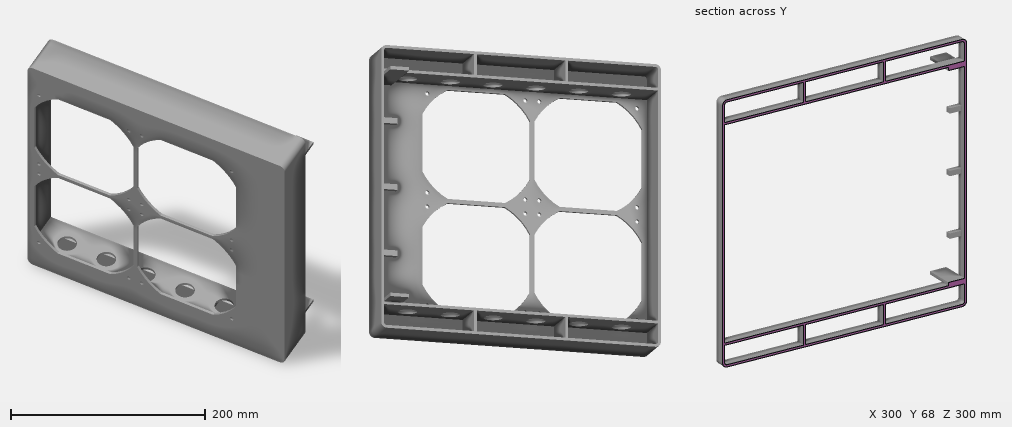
import cadquery as cq

side = 300.0
depth = 45.0
wall = 3.0
corner_radius = 6.0
overlap = wall / 2

fan_pitch = 120.0
fan_centre_x = -24.3
opening_width = 115.5
opening_diameter = 130.8
screw_spacing = 105.0
screw_diameter = 4.2

shelf_height = 28.0
shelf_hole_count = 6
shelf_hole_pitch = 46.0
shelf_hole_diameter = 20.0
shelf_hole_y = 20.0
rib_count = 2

tab_width = 20.0
tab_thickness = 3.5
tab_overhang = 23.0

block_pitch = 70.2
block_size = 6.0
block_reach = 14.5

half = side / 2
inner = side - 2 * wall
inner_half = inner / 2


def box_between(x_range, y_range, z_range):
    """Axis-aligned box given by its limits."""
    lengths = [high - low for low, high in (x_range, y_range, z_range)]
    corner = (x_range[0], y_range[0], z_range[0])
    return cq.Workplane("XY").box(*lengths, centered=False).translate(corner)


def rounded_box(width, radius, y_start, y_end):
    """Square block with rounded corners, running along Y."""
    return (
        cq.Workplane("XZ", origin=(0, y_start, 0))
        .rect(width, width)
        .extrude(y_start - y_end)
        .edges("|Y")
        .fillet(radius)
    )


def make_shell():
    """Front plate with four side walls, open at the back."""
    outer = rounded_box(side, corner_radius, 0, depth)
    cavity = rounded_box(inner, corner_radius - wall, wall, depth)
    return outer.cut(cavity)


def make_lower_shelf():
    """Shelf with a row of holes, the ribs that carry it and the tab lying on it."""
    top = shelf_height - half
    underside = top - wall
    y_range = (wall - overlap, depth)

    shelf_end = inner_half + overlap
    shelf = box_between((-shelf_end, shelf_end), y_range, (underside, top))
    holes = (
        cq.Workplane("XY", origin=(0, shelf_hole_y, top))
        .rarray(shelf_hole_pitch, 3, shelf_hole_count, 1)
        .circle(shelf_hole_diameter / 2)
        .extrude(-wall)
    )
    shelf = shelf.cut(holes)

    bay = inner / (rib_count + 1)
    for number in range(1, rib_count + 1):
        rib_x = number * bay - inner_half
        rib_x_range = (rib_x - wall / 2, rib_x + wall / 2)
        shelf = shelf.union(box_between(rib_x_range, y_range, (-inner_half - overlap, underside)))

    tab = box_between(
        (inner_half - tab_width, inner_half),
        (wall, depth + tab_overhang),
        (top, top + tab_thickness),
    )
    return shelf.union(tab)


def make_wall_block(z):
    """Small block on the right wall, centred at height z."""
    return box_between(
        (inner_half - block_reach, inner_half + overlap),
        (depth - block_size, depth),
        (z - block_size / 2, z + block_size / 2),
    )


def make_fan_cut():
    """Opening for one fan: a square with its corners cut by a circle, plus four screw holes."""
    square = cq.Workplane("XZ").rect(opening_width, opening_width).extrude(-wall)
    disc = cq.Workplane("XZ").circle(opening_diameter / 2).extrude(-wall)
    screws = (
        cq.Workplane("XZ")
        .rarray(screw_spacing, screw_spacing, 2, 2)
        .circle(screw_diameter / 2)
        .extrude(-wall)
    )
    return square.intersect(disc).union(screws)


result = make_shell()

lower_shelf = make_lower_shelf()
result = result.union(lower_shelf).union(lower_shelf.mirror("XY"))

for block_z in (-block_pitch, 0, block_pitch):
    result = result.union(make_wall_block(block_z))

fan_cut = make_fan_cut()
for dx in (-fan_pitch / 2, fan_pitch / 2):
    for dz in (-fan_pitch / 2, fan_pitch / 2):
        result = result.cut(fan_cut.translate((fan_centre_x + dx, 0, dz)))